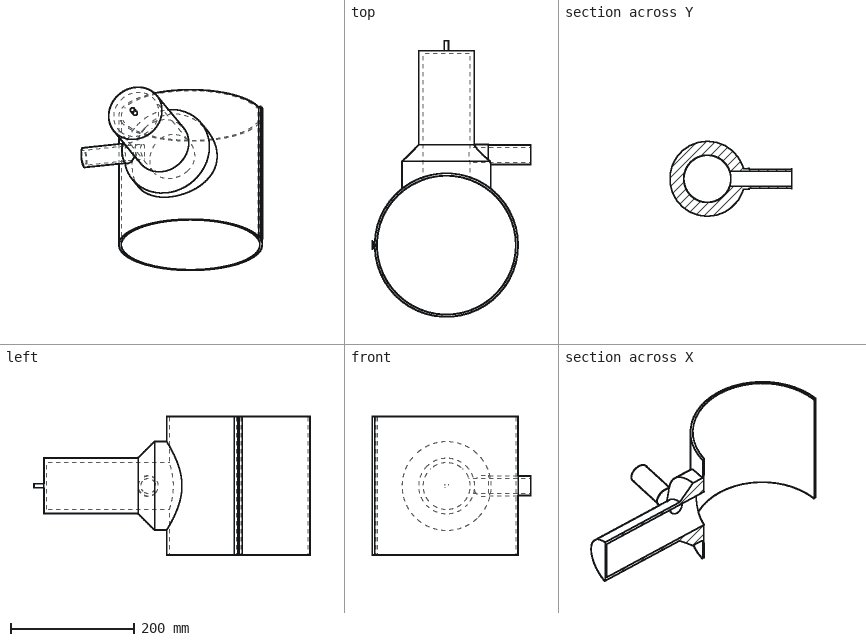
import cadquery as cq

overall_length = 448

wall = 4.0
sleeve_height = 225.0
sleeve_bore_radius = 112.5
sleeve_radius = sleeve_bore_radius + wall

lug_projection = 4.0
seam_width = 13.5
lug_face = sleeve_radius + lug_projection
seam_root_width = 7.0
seam_gap = 2.2
seam_floor = 2.0

branch_radius = 45.3
branch_wall = 7.0
branch_bore_radius = branch_radius - branch_wall
branch_end = 315.5
foot_radius = 72.0
foot_end = 136.0
cone_end = 162.5

pin_radius = 3.5
pin_end = overall_length - sleeve_radius

side_radius = 16.0
side_bore_radius = side_radius - wall
side_y = 146.5
side_end = 137.0
collar_radius = 17.0
collar_end = 67.5


def cylinder_z(radius):
    return cq.Workplane("XY").circle(radius).extrude(sleeve_height / 2, both=True)


def cylinder_y(radius, end):
    return cq.Workplane("XZ").circle(radius).extrude(-end)


def cylinder_x(radius, end):
    return cq.Workplane("YZ").center(side_y, 0).circle(radius).extrude(end)


def make_branch():
    profile = [
        (0, 0),
        (foot_radius, 0),
        (foot_radius, foot_end),
        (branch_radius, cone_end),
        (branch_radius, branch_end),
        (0, branch_end),
    ]
    body = cq.Workplane("XY").polyline(profile).close().revolve(360, (0, 0), (0, 1))
    return body.union(cylinder_y(pin_radius, pin_end))


def make_side_pipe():
    return cylinder_x(side_radius, side_end).union(cylinder_x(collar_radius, collar_end))


def seam_lugs():
    corners = [
        (-lug_face, seam_width / 2),
        (-sleeve_radius, seam_root_width / 2),
        (-sleeve_bore_radius, seam_root_width / 2),
        (-sleeve_bore_radius, -seam_root_width / 2),
        (-sleeve_radius, -seam_root_width / 2),
        (-lug_face, -seam_width / 2),
    ]
    return cq.Workplane("XY").polyline(corners).close().extrude(sleeve_height / 2, both=True)


def seam_groove():
    depth = lug_projection + wall - seam_floor
    centre_x = depth / 2 - lug_face
    return cq.Workplane("XY").box(depth, seam_gap, sleeve_height).translate((centre_x, 0, 0))


outside = cylinder_z(sleeve_radius).union(make_branch()).union(make_side_pipe())
outside = outside.union(seam_lugs())

result = (
    outside.cut(cylinder_z(sleeve_bore_radius))
    .cut(cylinder_y(branch_bore_radius, branch_end - wall))
    .cut(cylinder_x(side_bore_radius, side_end))
    .cut(seam_groove())
)